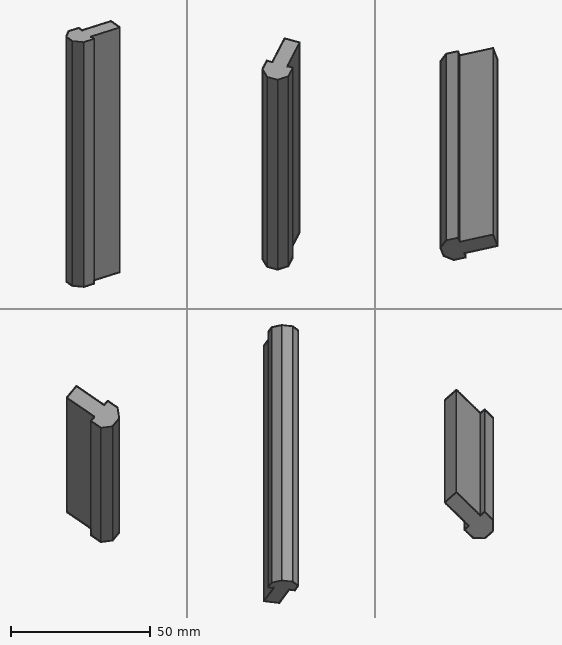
import cadquery as cq

length = 100.0
head_width = 10.0
total_depth = 20.0

stem_width = 5.8
head_depth = 7.5
nose_width = 4.0
bevel_depth = 3.0

half_head = head_width / 2
half_stem = stem_width / 2
half_nose = nose_width / 2

right_side = [
    (half_nose, 0),
    (half_head, bevel_depth),
    (half_head, head_depth),
    (half_stem, head_depth),
    (half_stem, total_depth),
]
left_side = [(-x, y) for x, y in reversed(right_side)]

result = cq.Workplane("XY").polyline(right_side + left_side).close().extrude(length)